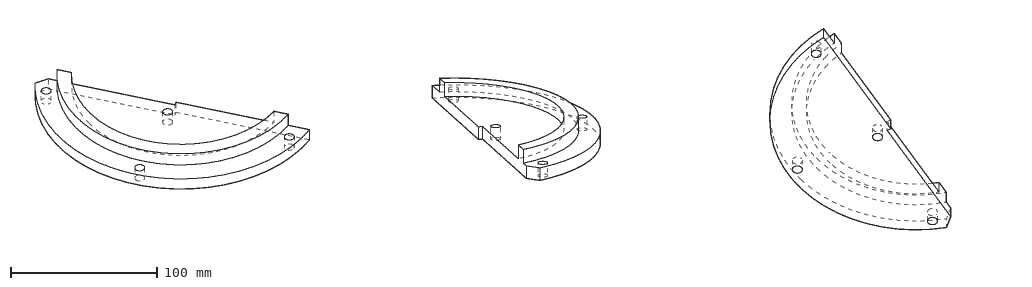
import cadquery as cq
import math

length = 194.3
plate_radius = 100.0
plate_thickness = 9.1
edge_y = -18.3

step_x = 2.3
step_depth = 3.0
recessed_edge_y = edge_y - step_depth

rim_outer_radius = 85.0
rim_inner_radius = 75.0
rim_height = 10.0

hole_diameter = 6.8
bolt_circle_radius = 92.5
inner_hole_y = -30.0
left_hole_drop = 34.0

right_x = math.sqrt(plate_radius**2 - edge_y**2)
left_x = right_x - length
left_y = -math.sqrt(plate_radius**2 - left_x**2)
corner_cut = recessed_edge_y - left_y


def plate_outline():
    """Half-round outline with a stepped edge and one cut corner."""
    return (
        cq.Workplane("XY")
        .moveTo(right_x, edge_y)
        .threePointArc((0, -plate_radius), (left_x, left_y))
        .lineTo(left_x + corner_cut, recessed_edge_y)
        .lineTo(step_x, recessed_edge_y)
        .lineTo(step_x, edge_y)
        .close()
    )


def rim():
    """Ring on top of the plate, trimmed by the plate outline."""
    ring = (
        cq.Workplane("XY")
        .workplane(offset=plate_thickness)
        .circle(rim_outer_radius)
        .circle(rim_inner_radius)
        .extrude(rim_height)
    )
    return ring.intersect(plate_outline().extrude(plate_thickness + rim_height))


def bolt_hole_x(y):
    """Distance from the Y axis of a bolt-circle point at height y."""
    return math.sqrt(bolt_circle_radius**2 - y**2)


hole_centres = [
    (0, inner_hole_y),
    (0, -bolt_circle_radius),
    (bolt_hole_x(inner_hole_y), inner_hole_y),
    (-bolt_hole_x(left_hole_drop), -left_hole_drop),
]

holes = (
    cq.Workplane("XY")
    .pushPoints(hole_centres)
    .circle(hole_diameter / 2)
    .extrude(plate_thickness)
)

result = plate_outline().extrude(plate_thickness).union(rim()).cut(holes)